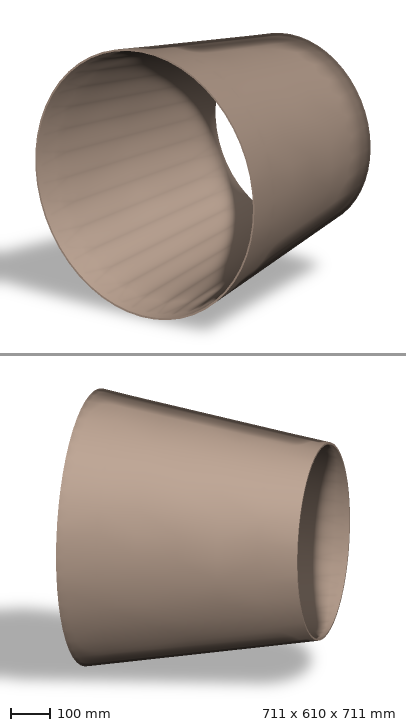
import cadquery as cq

large_diameter = 711.0
small_diameter = 508.0
length = 610.0
wall = 5.0

large_outer = large_diameter / 2
small_outer = small_diameter / 2
large_inner = large_outer - wall
small_inner = small_outer - wall

wall_section = (
    cq.Workplane("XY")
    .moveTo(large_inner, 0)
    .lineTo(large_outer, 0)
    .lineTo(small_outer, length)
    .lineTo(small_inner, length)
    .close()
)

result = wall_section.revolve(360, (0, 0, 0), (0, 1, 0))